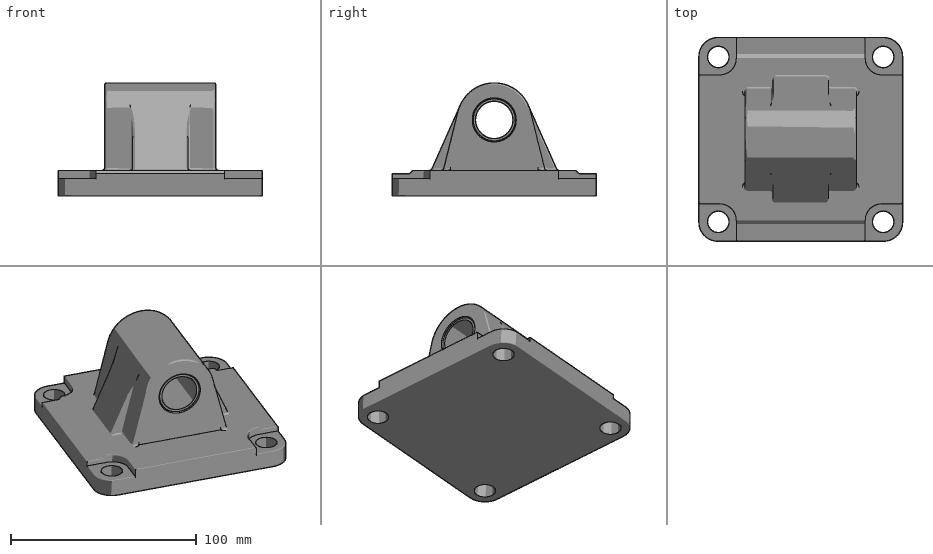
import cadquery as cq
import math

plate_size = 110.0
plate_height = 13.9
plate_corner_radius = 10.5
edge_round = 0.4

hole_offset = 44.4
hole_diameter = 11.4
pad_height = 9.6
pad_length = 20.2
pad_radius = 8.9

strip_height = 12.1
strip_width = 9.2
strip_slope_run = 1.9

block_length = 60.1
barrel_radius = 20.0
total_height = 61.0
flank_angle = 14.0
corner_round = 1.4
bore_diameter = 20.0
recess_diameter = 22.7
recess_depth = 0.5

rib_width = 29.7
rib_angle = 24.0
rib_root_fillet = 1.5

foot_fillet = 1.4

collar_thickness = 13.2
slack = 0.1

barrel_z = total_height - barrel_radius
half_plate = plate_size / 2
half_block = block_length / 2
strip_y = half_plate - strip_width
step_y = strip_y - strip_slope_run


def flank_y(angle, z):
    """Half depth at height z of a flank that touches the barrel and leans from vertical by angle."""
    lean = math.radians(angle)
    return barrel_radius / math.cos(lean) + (barrel_z - z) * math.tan(lean)


def tapered_prism(length, angle, margin=0.0):
    """Prism along X: a barrel with two tangent flanks down into the plate, grown outward by margin."""
    lean = math.radians(angle)
    radius = barrel_radius + margin
    touch_y = radius * math.cos(lean)
    touch_z = barrel_z + radius * math.sin(lean)
    foot_y = flank_y(angle, pad_height) + margin / math.cos(lean)
    return (
        cq.Workplane("YZ")
        .moveTo(-foot_y, pad_height)
        .lineTo(foot_y, pad_height)
        .lineTo(touch_y, touch_z)
        .threePointArc((0, barrel_z + radius), (-touch_y, touch_z))
        .close()
        .extrude(length / 2, both=True)
    )


def base_plate():
    """Square plate with lowered strips, corner pads and rounded rims."""
    plate = (
        cq.Workplane("XY")
        .rect(plate_size, plate_size)
        .extrude(plate_height)
        .edges("|Z")
        .fillet(plate_corner_radius)
    )
    for side in (-1, 1):
        strip = (
            cq.Workplane("YZ")
            .moveTo(side * step_y, plate_height)
            .lineTo(side * strip_y, strip_height)
            .lineTo(side * half_plate, strip_height)
            .lineTo(side * half_plate, plate_height)
            .close()
            .extrude(half_plate, both=True)
        )
        plate = plate.cut(strip)
        for y, z in ((step_y, plate_height), (strip_y, strip_height)):
            step_edge = cq.selectors.NearestToPointSelector((0, side * y, z))
            plate = plate.edges(step_edge).fillet(edge_round)

    pads = (
        cq.Workplane("XY", origin=(0, 0, pad_height))
        .rect(plate_size, plate_size, forConstruction=True)
        .vertices()
        .rect(2 * pad_length, 2 * pad_length)
        .extrude(plate_height)
        .edges("|Z")
        .fillet(pad_radius)
    )
    plate = plate.cut(pads)

    rims = plate.faces("<Z").edges()
    rims = rims.add(plate.faces(">Z").edges("not |X"))
    rims = rims.add(plate.faces("<Y or >Y").edges("|X and >Z"))
    corner_middle = half_plate - plate_corner_radius * (1 - math.sqrt(0.5))
    for x in (-corner_middle, corner_middle):
        for y in (-corner_middle, corner_middle):
            rims = rims.add(plate.edges(cq.selectors.NearestToPointSelector((x, y, pad_height))))
    return rims.fillet(edge_round)


def ribbed_block():
    """Bearing block with a filleted rib on each flank, reaching down into the plate."""
    block = tapered_prism(block_length, flank_angle)
    rounded_block = block.faces("<X or >X").edges("not <Z").fillet(corner_round)

    foot_y = flank_y(flank_angle, pad_height) + slack
    block_bounds = cq.selectors.BoxSelector(
        (-rib_width / 2 - slack, -foot_y, 0),
        (rib_width / 2 + slack, foot_y, total_height + slack),
        boundingbox=True,
    )
    collar = tapered_prism(rib_width, flank_angle, collar_thickness)
    collared_block = block.union(collar).edges(block_bounds).fillet(rib_root_fillet)
    ribs = collared_block.intersect(tapered_prism(rib_width + 2 * rib_root_fillet, rib_angle))
    body = rounded_block.union(ribs)

    lean = math.radians(rib_angle)
    for side in (-1, 1):
        slope = cq.Vector(0, -side * math.sin(lean), math.cos(lean))
        body = body.edges(cq.selectors.ParallelDirSelector(slope)).fillet(corner_round)
    return body


def add_foot_fillet(body):
    """Fillet the foot of the ribbed block, leaving the flat ends of the block bare."""
    foot_x = half_block + slack
    foot_y = step_y - slack
    foot_bounds = cq.selectors.BoxSelector(
        (-foot_x, -foot_y, plate_height - slack),
        (foot_x, foot_y, plate_height + slack),
        boundingbox=True,
    )
    filleted = body.edges(foot_bounds).fillet(foot_fillet)

    flare_y = flank_y(flank_angle, plate_height) - corner_round / math.cos(math.radians(flank_angle))
    flare_x = half_block - corner_round
    bare_ends = (
        cq.Workplane("XY", origin=(0, 0, plate_height))
        .pushPoints([(-half_block - foot_fillet, 0), (half_block + foot_fillet, 0)])
        .rect(2 * foot_fillet, 2 * flare_y)
        .extrude(foot_fillet)
    )
    flares = (
        cq.Workplane("XY", origin=(0, 0, plate_height))
        .rect(2 * flare_x, 2 * flare_y, forConstruction=True)
        .vertices()
        .circle(corner_round + foot_fillet)
        .extrude(foot_fillet)
    )
    return filleted.cut(bare_ends.cut(flares))


def mounting_holes():
    """Cutters for the four through holes in the corner pads."""
    return (
        cq.Workplane("XY")
        .rect(2 * hole_offset, 2 * hole_offset, forConstruction=True)
        .vertices()
        .circle(hole_diameter / 2)
        .extrude(plate_height)
    )


def bore():
    """Cutter for the through bore with a shallow, bevelled recess at each mouth."""
    recess_radius = recess_diameter / 2
    mouth_radius = recess_radius + recess_depth
    recess_x = half_block - recess_depth
    return (
        cq.Workplane("XY", origin=(0, 0, barrel_z))
        .moveTo(-half_block, 0)
        .lineTo(-half_block, mouth_radius)
        .lineTo(-recess_x, recess_radius)
        .lineTo(-recess_x, bore_diameter / 2)
        .lineTo(recess_x, bore_diameter / 2)
        .lineTo(recess_x, recess_radius)
        .lineTo(half_block, mouth_radius)
        .lineTo(half_block, 0)
        .close()
        .revolve(360, (0, 0), (1, 0))
    )


result = add_foot_fillet(base_plate().union(ribbed_block()))
result = result.cut(mounting_holes()).cut(bore())